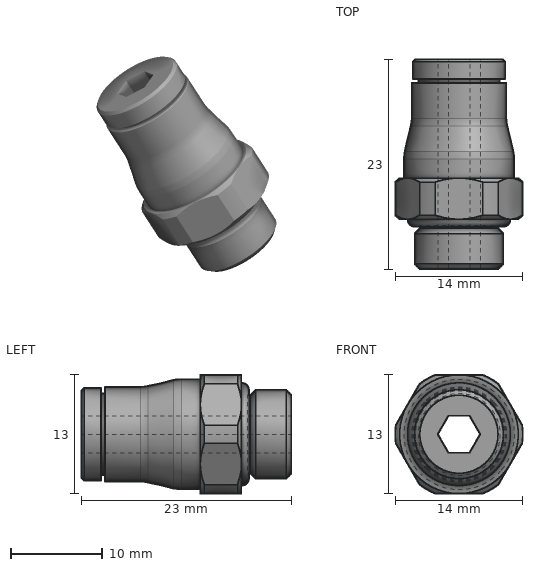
import cadquery as cq
import math

length = 23.0
front_y = -length / 2

thread_rear = 3.9
neck_front = 4.5
seal_front = 4.65
hex_front = 5.47
hex_width = 4.5
hex_rear = hex_front + hex_width
taper_front = 12.1
taper_rear = 16.55
sleeve_rear = 20.45
ring_front = 20.82

thread_radius = 4.88
neck_radius = 4.28
seal_radius = 5.64
seal_section = hex_front - seal_front
large_sleeve_radius = 6.05
small_sleeve_radius = 5.2
taper_arc_radius = 3.65
groove_radius = 4.48
ring_radius = 5.08

thread_chamfer = 0.6
ring_chamfer = 0.3
edge_break = 0.07

hex_flats = 13.0
hex_corner_diameter = 14.0
hex_corner_radius = hex_corner_diameter / 2
hex_chamfer_length = 0.44
socket_flats = 4.0


def turned(points):
    """Solid of revolution about Y from a (radius, station) outline."""
    placed = [(radius, front_y + station) for radius, station in points]
    return cq.Workplane("XY").polyline(placed).close().revolve(360, (0, 0), (0, 1))


def hex_bar(flats, start, end):
    """Hexagonal prism along Y with its flats facing +Z and -Z."""
    corner_diameter = flats / math.cos(math.pi / 6)
    return (
        cq.Workplane("XZ", origin=(0, front_y + start, 0))
        .polygon(6, corner_diameter)
        .extrude(start - end)
    )


def thread_end():
    return turned([
        (0, 0),
        (thread_radius - thread_chamfer, 0),
        (thread_radius, thread_chamfer),
        (thread_radius, thread_rear),
        (neck_radius, neck_front),
        (neck_radius, hex_front),
        (0, hex_front),
    ])


def seal():
    """O-ring around the neck, half sunk into the nut's front face."""
    centre_y = front_y + hex_front
    return (
        cq.Workplane("XY")
        .center(seal_radius - seal_section, centre_y)
        .circle(seal_section)
        .revolve(360, (seal_section - seal_radius, 0), (seal_section - seal_radius, 1))
    )


def nut():
    """Hexagon with turned corners and both ends chamfered down to the flats."""
    face_radius = hex_flats / 2
    blank = turned([
        (0, hex_front),
        (face_radius, hex_front),
        (hex_corner_radius, hex_front + hex_chamfer_length),
        (hex_corner_radius, hex_rear - hex_chamfer_length),
        (face_radius, hex_rear),
        (0, hex_rear),
    ])
    return hex_bar(hex_flats, hex_front, hex_rear).intersect(blank)


def sleeve():
    """Two-diameter sleeve blended by a cone with a tangent arc at each end."""
    centre_gap_radial = small_sleeve_radius - large_sleeve_radius + 2 * taper_arc_radius
    centre_gap_axial = taper_rear - taper_front
    centre_gap = math.hypot(centre_gap_radial, centre_gap_axial)
    cone_angle = (
        math.asin(2 * taper_arc_radius / centre_gap)
        - math.atan2(centre_gap_radial, centre_gap_axial)
    )
    arc_drop = taper_arc_radius * (1 - math.cos(cone_angle))
    arc_run = taper_arc_radius * math.sin(cone_angle)
    return (
        cq.Workplane("XY")
        .moveTo(0, front_y + hex_rear)
        .lineTo(large_sleeve_radius, front_y + hex_rear)
        .lineTo(large_sleeve_radius, front_y + taper_front)
        .radiusArc(
            (large_sleeve_radius - arc_drop, front_y + taper_front + arc_run),
            -taper_arc_radius,
        )
        .lineTo(small_sleeve_radius + arc_drop, front_y + taper_rear - arc_run)
        .radiusArc((small_sleeve_radius, front_y + taper_rear), taper_arc_radius)
        .lineTo(small_sleeve_radius, front_y + sleeve_rear - edge_break)
        .lineTo(small_sleeve_radius - edge_break, front_y + sleeve_rear)
        .lineTo(0, front_y + sleeve_rear)
        .close()
        .revolve(360, (0, 0), (0, 1))
    )


def release_ring():
    """Rear ring and the narrow stem that leaves a groove behind the sleeve."""
    return turned([
        (0, sleeve_rear),
        (groove_radius, sleeve_rear),
        (groove_radius, ring_front),
        (ring_radius - edge_break, ring_front),
        (ring_radius, ring_front + edge_break),
        (ring_radius, length - ring_chamfer),
        (ring_radius - ring_chamfer, length),
        (0, length),
    ])


body = thread_end().union(seal()).union(nut()).union(sleeve()).union(release_ring())

result = body.cut(hex_bar(socket_flats, 0, length))